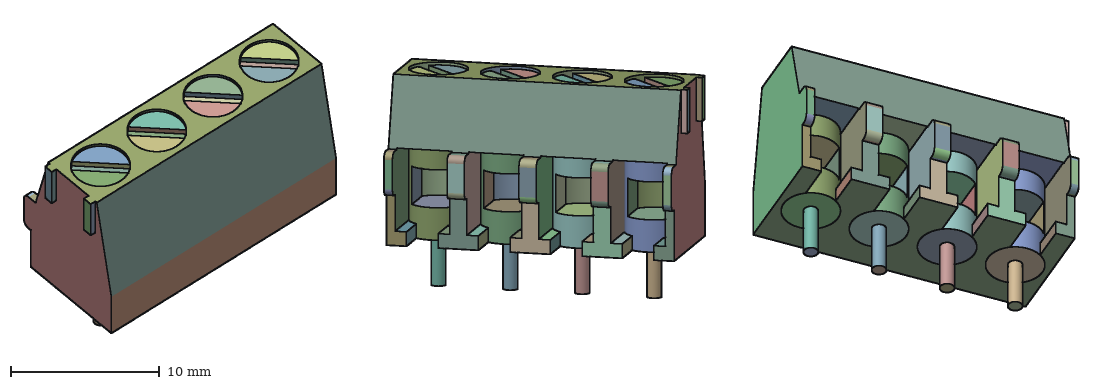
import cadquery as cq


terminal_count = 4
pitch = 5.0
housing_length = terminal_count * pitch
terminal_places = [(i - (terminal_count - 1) / 2) * pitch for i in range(terminal_count)]

housing_height = 11.4
top_width = 5.0
nose_x = -5.0
base_front_x = -4.3
slope_front_x = -3.8
back_x = 4.0
nose_bottom = 3.5
nose_top = 6.53
nose_radius = 0.49

rib_width = 0.7
rib_depth = 0.4
rib_height = 3.0
rib_offset = 2.0

opening_width = 3.8
opening_top = 6.6
opening_bottom = 1.0
base_slot_width = 2.2

barrel_diameter = 4.0
barrel_recess = 0.2
barrel_height = housing_height - barrel_recess
slot_width = 0.8
slot_depth = 0.4
slot_angle = 45
window_width = 3.0
window_bottom = 2.25
window_height = 2.61

pin_diameter = 1.0
pin_length = 3.49


def make_profile_block():
    """Plain housing block: the cross-section extruded along Y, with a rounded nose."""
    block = (
        cq.Workplane("XZ")
        .moveTo(base_front_x, 0)
        .lineTo(base_front_x, nose_bottom)
        .lineTo(nose_x, nose_bottom)
        .lineTo(nose_x, nose_top)
        .lineTo(slope_front_x, nose_top)
        .lineTo(-top_width / 2, housing_height)
        .lineTo(top_width / 2, housing_height)
        .lineTo(back_x, nose_bottom)
        .lineTo(back_x, 0)
        .close()
        .extrude(housing_length / 2, both=True)
    )
    return block.faces("<X").edges("|Y").fillet(nose_radius)


def make_ribs():
    """Two upright guide ribs on the -Y end, flush with the housing top."""
    return (
        cq.Workplane("XY", origin=(0, -housing_length / 2, housing_height))
        .pushPoints([(-rib_offset, 0), (rib_offset, 0)])
        .rect(rib_width, 2 * rib_depth)
        .extrude(-rib_height)
    )


def make_front_cut(y, width, bottom, top):
    """Box from the front of the housing back to the barrel axis."""
    return cq.Workplane("XY", origin=(nose_x, y, bottom)).box(
        -nose_x, width, top - bottom, centered=(False, True, False)
    )


def make_housing():
    housing = make_profile_block().union(make_ribs())
    for y in terminal_places:
        bore = cq.Workplane("XY").center(0, y).circle(barrel_diameter / 2).extrude(housing_height)
        opening = make_front_cut(y, opening_width, opening_bottom, opening_top)
        base_slot = make_front_cut(y, base_slot_width, 0, opening_bottom)
        housing = housing.cut(bore).cut(opening).cut(base_slot)
    return housing


def make_barrel(y):
    """Clamp barrel with a slanted screwdriver slot on top and a wire window right through along X."""
    barrel = cq.Workplane("XY").circle(barrel_diameter / 2).extrude(barrel_height)
    slot = (
        cq.Workplane("XY", origin=(0, 0, barrel_height))
        .transformed(rotate=(0, 0, slot_angle))
        .rect(2 * barrel_diameter, slot_width)
        .extrude(-slot_depth)
    )
    window = cq.Workplane("XY", origin=(0, 0, window_bottom)).box(
        2 * barrel_diameter, window_width, window_height, centered=(True, True, False)
    )
    return barrel.cut(slot).cut(window).translate((0, y, 0))


def make_pin(y):
    """Round solder pin hanging from the bottom of a barrel."""
    return cq.Workplane("XY").center(0, y).circle(pin_diameter / 2).extrude(-pin_length)


housing = make_housing()
barrels = [make_barrel(y) for y in terminal_places]
pins = [make_pin(y) for y in terminal_places]

result = cq.Compound.makeCompound(
    [body.solids().val() for body in [housing, *barrels, *pins]]
)